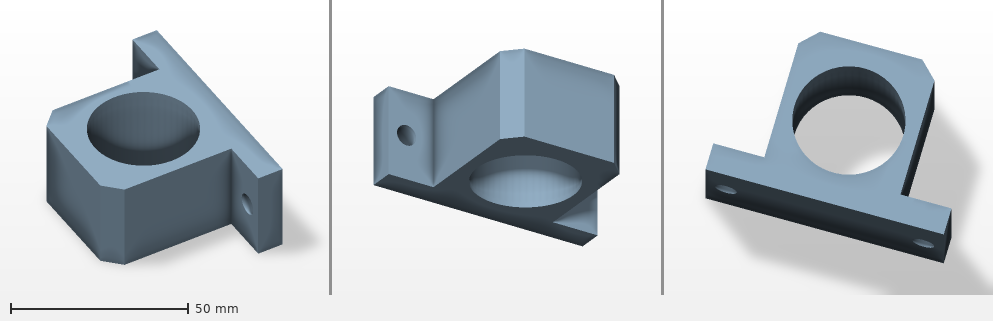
import cadquery as cq

flange_width = 70.0
flange_thickness = 8.0
height = 28.0

block_width = 40.0
total_depth = 48.0
bore_diameter = 32.0
bore_to_back = 25.0
corner_chamfer = 5.0

screw_hole_diameter = 6.4
screw_hole_spacing = 58.0

back_y = bore_to_back
front_y = back_y - total_depth


def make_flange():
    return cq.Workplane("XY").box(flange_width, flange_thickness, height).translate(
        (0, back_y - flange_thickness / 2, 0)
    )


def make_block():
    block = cq.Workplane("XY").box(block_width, total_depth, height)
    block = block.edges("|Z and <Y").chamfer(corner_chamfer)
    return block.translate((0, (back_y + front_y) / 2, 0))


def make_bore():
    return cq.Workplane("XY").circle(bore_diameter / 2).extrude(height / 2, both=True)


def make_screw_holes():
    return (
        cq.Workplane("XZ", origin=(0, back_y, 0))
        .rarray(screw_hole_spacing, 1, 2, 1)
        .circle(screw_hole_diameter / 2)
        .extrude(flange_thickness)
    )


result = make_flange().union(make_block()).cut(make_bore()).cut(make_screw_holes())